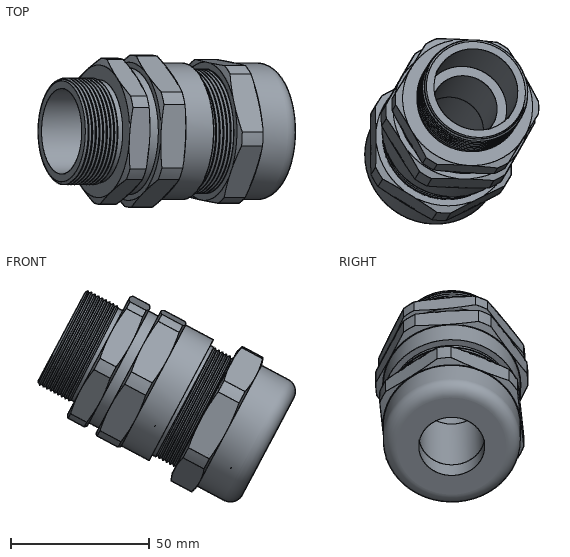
import cadquery as cq
import math

TILT = 28.0
ENTRY_CENTRE = (-38.0, 0, 21.6)

ENTRY_HEX_START = 15.1
ENTRY_HEX_END = 23.4
COLLAR_END = 27.4
BODY_HEX_END = 37.6
BARREL_END = 49.0
NECK_END = 50.4
NUT_START = 58.5
NUT_HEX_END = 68.8
BODY_END = 67.1
NUT_CAVITY_END = 76.4
NUT_END = 84.6

ENTRY_BORE = 30.9
CABLE_BORE = 23.9
SLEEVE_START = 20.2
SLEEVE_END = 45.0

COLLAR_DIA = 45.9
BARREL_DIA = 49.6
CAP_ROUNDING = 4.9

HEX_SIDES = 6
SMALL_HEX_FLATS = 48.0
SMALL_HEX_CORNERS = 52.9
ENTRY_HEX_ANGLE = -6.0
LARGE_HEX_FLATS = 50.0
LARGE_HEX_CORNERS = 55.1
BODY_HEX_ANGLE = -4.1
NUT_HEX_ANGLE = 24.2
HEX_CHAMFER_LENGTH = 0.8

PITCH = 1.5
RIDGE_WIDTH = 1.3
ROOT_OVERLAP = 0.1
ENTRY_ROOT_DIA = 37.4
ENTRY_CREST_DIA = 38.7
ENTRY_FACE_DIA = 36.5
ENTRY_CHAMFER_LENGTH = 0.8
CREST_CLEARANCE = 0.1
ENTRY_THREAD_END = 13.2
ENTRY_TURNS = 9
BODY_ROOT_DIA = 43.5
BODY_CREST_DIA = 45.0
BODY_NECK_DIA = 44.9
BODY_THREAD_START = 50.3
BODY_TURNS = 10
NUT_THREAD_CLEARANCE = 0.1


def revolved(points):
    """Solid of revolution about X from (station, radius) points."""
    return cq.Workplane("XZ").polyline(points).close().revolve(360, (0, 0), (1, 0))


def cylinder(start, end, diameter):
    return cq.Workplane("YZ").workplane(offset=start).circle(diameter / 2).extrude(end - start)


def hexagon(start, end, across_flats, over_corners, corner_angle):
    """Hexagon with corners turned round and both end faces chamfered down to the flats."""
    point_dia = across_flats / math.cos(math.pi / HEX_SIDES)
    prism = (
        cq.Workplane("YZ")
        .workplane(offset=start)
        .polygon(HEX_SIDES, point_dia)
        .extrude(end - start)
        .rotate((0, 0, 0), (1, 0, 0), -corner_angle)
    )
    face_radius = across_flats / 2
    corner_radius = over_corners / 2
    envelope = revolved(
        [
            (start, 0),
            (start, face_radius),
            (start + HEX_CHAMFER_LENGTH, corner_radius),
            (end - HEX_CHAMFER_LENGTH, corner_radius),
            (end, face_radius),
            (end, 0),
        ]
    )
    return prism.intersect(envelope)


def thread_ridge(start, turns, root_dia, crest_dia):
    """Right-handed triangular ridge whose crest starts at the bottom (-Z) of the given station."""
    root_radius = root_dia / 2
    depth = crest_dia / 2 - root_radius
    base_radius = root_radius - ROOT_OVERLAP
    half_base = RIDGE_WIDTH / 2 * (depth + ROOT_OVERLAP) / depth
    helix = cq.Wire.makeHelix(PITCH, turns * PITCH, base_radius)
    ridge = (
        cq.Workplane("XZ")
        .polyline([(base_radius, -half_base), (crest_dia / 2, 0), (base_radius, half_base)])
        .close()
        .sweep(cq.Workplane(helix), isFrenet=True)
    )
    return ridge.rotate((0, 0, 0), (0, 1, 0), 90).translate((start, 0, 0))


def placed(body):
    """The solid of a body, tilted from the local X axis into its final place."""
    return body.rotate((0, 0, 0), (0, 1, 0), TILT).translate(ENTRY_CENTRE).solids().val()


def make_entry_body():
    """Externally threaded spigot with a hexagon and a round collar."""
    spigot = cylinder(0, ENTRY_HEX_START, ENTRY_ROOT_DIA)
    thread_start = ENTRY_THREAD_END - ENTRY_TURNS * PITCH
    ridge = thread_ridge(thread_start, ENTRY_TURNS, ENTRY_ROOT_DIA, ENTRY_CREST_DIA)
    chamfer_end_radius = ENTRY_CREST_DIA / 2 + CREST_CLEARANCE
    envelope = revolved(
        [
            (0, 0),
            (0, ENTRY_FACE_DIA / 2),
            (ENTRY_CHAMFER_LENGTH, chamfer_end_radius),
            (ENTRY_HEX_START, chamfer_end_radius),
            (ENTRY_HEX_START, 0),
        ]
    )
    threaded = spigot.union(ridge).intersect(envelope)
    hex_part = hexagon(ENTRY_HEX_START, ENTRY_HEX_END, SMALL_HEX_FLATS, SMALL_HEX_CORNERS, ENTRY_HEX_ANGLE)
    collar = cylinder(ENTRY_HEX_END, COLLAR_END, COLLAR_DIA)
    bore = cylinder(0, COLLAR_END, ENTRY_BORE)
    return threaded.union(hex_part).union(collar).cut(bore)


def make_main_body():
    """Hexagon and round barrel, with a thread for the cap nut."""
    hex_part = hexagon(COLLAR_END, BODY_HEX_END, LARGE_HEX_FLATS, LARGE_HEX_CORNERS, BODY_HEX_ANGLE)
    barrel = cylinder(BODY_HEX_END, BARREL_END, BARREL_DIA)
    neck = cylinder(BARREL_END, NECK_END, BODY_NECK_DIA)
    core = cylinder(NECK_END, BODY_END, BODY_ROOT_DIA)
    ridge = thread_ridge(BODY_THREAD_START, BODY_TURNS, BODY_ROOT_DIA, BODY_CREST_DIA)
    bore = cylinder(COLLAR_END, BODY_END, ENTRY_BORE)
    return core.union(ridge).union(neck).union(barrel).union(hex_part).cut(bore)


def tube(start, end):
    """Tube that fills the entry bore and leaves the cable bore open."""
    return cylinder(start, end, ENTRY_BORE).cut(cylinder(start, end, CABLE_BORE))


def make_sleeve():
    """Inner sleeve forming the shoulder inside the entry bore."""
    return tube(SLEEVE_START, SLEEVE_END)


def make_seal():
    """Cable seal between the sleeve and the lip of the cap nut."""
    return tube(SLEEVE_END, NUT_CAVITY_END)


def make_cap_nut():
    """Hexagon nut with a rounded cap, hollow around the main body's thread."""
    hex_part = hexagon(NUT_START, NUT_HEX_END, LARGE_HEX_FLATS, LARGE_HEX_CORNERS, NUT_HEX_ANGLE)
    cap = cylinder(NUT_HEX_END, NUT_END, BARREL_DIA).faces(">X").edges().fillet(CAP_ROUNDING)
    cavity = cylinder(NUT_START, NUT_CAVITY_END, BODY_CREST_DIA + NUT_THREAD_CLEARANCE)
    cable_hole = cylinder(NUT_CAVITY_END, NUT_END, CABLE_BORE)
    return hex_part.union(cap).cut(cavity).cut(cable_hole)


entry_body = placed(make_entry_body())
main_body = placed(make_main_body())
sleeve = placed(make_sleeve())
seal = placed(make_seal())
cap_nut = placed(make_cap_nut())

result = cq.Compound.makeCompound([entry_body, main_body, sleeve, seal, cap_nut])